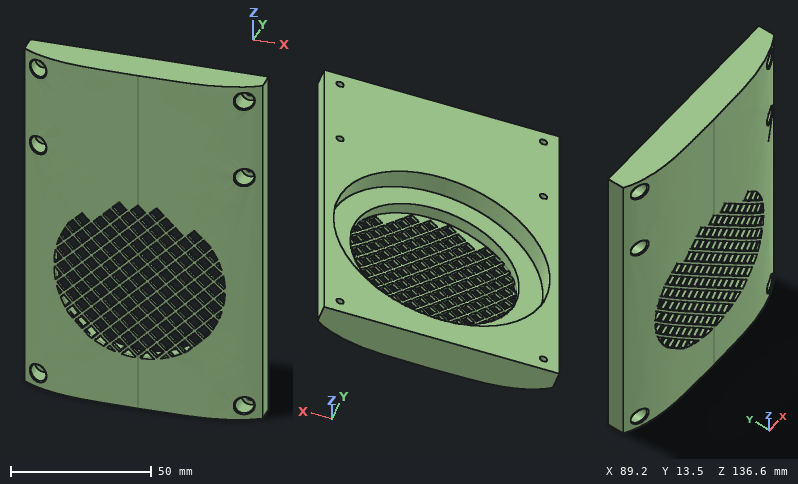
import cadquery as cq
import math

width = 89.2
height = 136.6
depth = 13.5

side_depth = 6.8
shoulder_x = 33.5
shoulder_drop = 2.2
crown_slope = 0.03
side_slope = 0.65

screw_x = 38.5
screw_heights = (5.9, 99.5, 130.7)
screw_diameter = 2.7
counterbore_diameter = 6.4
counterbore_floor = 3.0
rim_chamfer = 0.4
rim_search = 1.4

grille_radius = 32.0
grille_height = 52.7
grille_thickness = 1.5
cell_pitch = 4.95
cell_size = 3.7
seat_radius = 41.0
seat_depth = 7.4
top_cell_reach = 6


def front_plane(y):
    """Sketch plane at the given y, with local x = X and local y = Z, extruding towards -Y."""
    return cq.Workplane("XZ", origin=(0, y, 0))


def make_body():
    half_width = width / 2
    crown = (0, -depth)
    right_half = [(shoulder_x, shoulder_drop - depth), (half_width, -side_depth)]
    left_half = [(-shoulder_x, shoulder_drop - depth), crown]
    return (
        cq.Workplane("XY")
        .moveTo(*crown)
        .spline(right_half, tangents=[(1, crown_slope), (1, side_slope)], includeCurrent=True)
        .lineTo(half_width, 0)
        .lineTo(-half_width, 0)
        .lineTo(-half_width, -side_depth)
        .spline(left_half, tangents=[(1, -side_slope), (1, -crown_slope)], includeCurrent=True)
        .close()
        .extrude(height)
    )


def make_grille_disc(radius, length):
    return front_plane(0).center(0, grille_height).circle(radius).extrude(length)


def make_pocket(body):
    """Round pocket from the back; its floor follows the front at the lattice thickness."""
    core = make_grille_disc(grille_radius, depth).intersect(body.translate((0, grille_thickness, 0)))
    return core.union(make_grille_disc(seat_radius, seat_depth))


def cell_centres():
    """Centres of the square openings, on a grid turned by 45 degrees."""
    steps = math.ceil(grille_radius / cell_pitch)
    diagonal_step = cell_pitch / math.sqrt(2)
    centres = []
    for i in range(-steps, steps + 1):
        for j in range(-steps, steps + 1):
            in_top_quadrant = i > 0 and j > 0
            if in_top_quadrant and math.hypot(i, j) > top_cell_reach:
                continue
            centres.append(((i - j) * diagonal_step, (i + j) * diagonal_step))
    return centres


def make_openings():
    """Square openings of the lattice, trimmed to the grille circle."""
    cells = (
        front_plane(0)
        .center(0, grille_height)
        .pushPoints(cell_centres())
        .polygon(4, cell_size * math.sqrt(2))
        .extrude(depth)
    )
    return make_grille_disc(grille_radius, depth).intersect(cells)


def screw_positions():
    return [(x, z) for x in (-screw_x, screw_x) for z in screw_heights]


def cut_screw_holes(body):
    counterbores = (
        front_plane(-counterbore_floor)
        .pushPoints(screw_positions())
        .circle(counterbore_diameter / 2)
        .extrude(depth)
    )
    holes = front_plane(0).pushPoints(screw_positions()).circle(screw_diameter / 2).extrude(depth)
    body = body.cut(counterbores)
    for side in (-1, 1):
        rims = cq.selectors.BoxSelector(
            (side * screw_x - rim_search, -depth, rim_search),
            (side * screw_x + rim_search, -side_depth, height - rim_search),
        )
        body = body.edges(rims).chamfer(rim_chamfer)
    return body.cut(holes)


body = make_body()
result = cut_screw_holes(body).cut(make_pocket(body)).cut(make_openings())